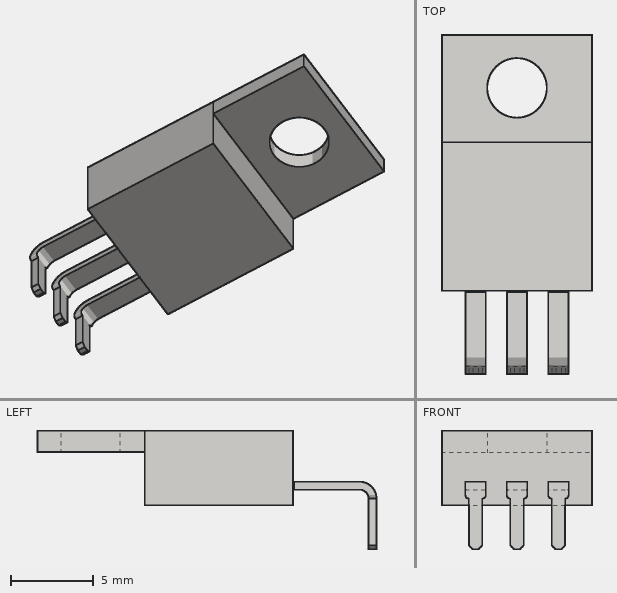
import cadquery as cq
import math

package_width = 9.1
package_length = 9.0
package_height = 4.52

tab_length = 6.5
tab_thickness = 1.3
hole_diameter = 3.6
hole_from_tab_end = 3.2

lead_count = 3
lead_pitch = 2.5
lead_gap = 0.06
lead_reach = 5.0
lead_thickness = 0.5
lead_top = -3.08
lead_bottom = -7.2
bend_radius = 1.03
lead_width = 1.23
pin_width = 0.82
tip_chamfer = 0.25


def make_package():
    """Rectangular moulded package."""
    return cq.Workplane("XY").box(
        package_width, package_length, package_height, centered=(True, False, False)
    ).translate((0, -package_length, -package_height))


def make_tab():
    """Flat tab flush with the package top, with a through mounting hole."""
    plate = cq.Workplane("XY").box(
        package_width, tab_length, tab_thickness, centered=(True, False, False)
    ).translate((0, 0, -tab_thickness))
    hole = (
        cq.Workplane("XY")
        .center(0, tab_length - hole_from_tab_end)
        .circle(hole_diameter / 2)
        .extrude(-tab_thickness)
    )
    return plate.cut(hole)


def make_lead(x):
    """Bent lead at the given X: a wide strip, a bend and a narrow pin with a chamfered tip."""
    start_y = -package_length - lead_gap
    outer_y = start_y - lead_reach
    inner_y = outer_y + lead_thickness
    bend_y = outer_y + bend_radius
    bend_z = lead_top - bend_radius
    under_z = lead_top - lead_thickness
    arc_part = math.sqrt(0.5)
    outer_mid = bend_radius * arc_part
    inner_radius = bend_radius - lead_thickness
    inner_mid = inner_radius * arc_part

    strip = (
        cq.Workplane("YZ", origin=(x, 0, 0))
        .moveTo(start_y, lead_top)
        .lineTo(bend_y, lead_top)
        .threePointArc((bend_y - outer_mid, bend_z + outer_mid), (outer_y, bend_z))
        .lineTo(inner_y, bend_z)
        .threePointArc((bend_y - inner_mid, bend_z + inner_mid), (bend_y, under_z))
        .lineTo(start_y, under_z)
        .close()
        .extrude(lead_width / 2, both=True)
    )

    half_lead = lead_width / 2
    half_pin = pin_width / 2
    shoulder_radius = half_lead - half_pin
    shoulder_z = bend_z + shoulder_radius
    mid_x = half_pin + shoulder_radius * arc_part
    mid_z = shoulder_z - shoulder_radius * arc_part
    shoulder_outline = (
        cq.Workplane("XZ", origin=(x, start_y, 0))
        .moveTo(half_pin, bend_z)
        .threePointArc((mid_x, mid_z), (half_lead, shoulder_z))
        .lineTo(half_lead, lead_top)
        .lineTo(-half_lead, lead_top)
        .lineTo(-half_lead, shoulder_z)
        .threePointArc((-mid_x, mid_z), (-half_pin, bend_z))
        .close()
        .extrude(lead_reach)
    )
    strip = strip.intersect(shoulder_outline)

    half_tip = half_pin - tip_chamfer
    tip_z = lead_bottom + tip_chamfer
    pin = (
        cq.Workplane("XZ", origin=(x, inner_y, 0))
        .moveTo(half_pin, bend_z)
        .lineTo(half_pin, tip_z)
        .lineTo(half_tip, lead_bottom)
        .lineTo(-half_tip, lead_bottom)
        .lineTo(-half_pin, tip_z)
        .lineTo(-half_pin, bend_z)
        .close()
        .extrude(lead_thickness)
    )
    return strip.union(pin)


package = make_package()
tab = make_tab()
leads = []
for index in range(lead_count):
    lead_x = (index - (lead_count - 1) / 2) * lead_pitch
    leads.append(make_lead(lead_x).val())

result = cq.Compound.makeCompound([package.val(), tab.val(), *leads])